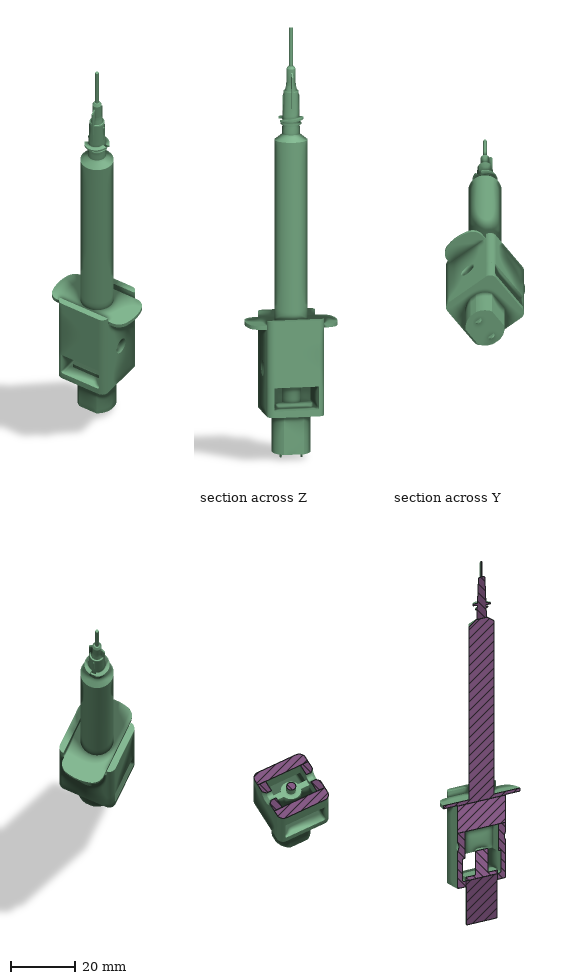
import cadquery as cq
import math


housing_width = 18.0
housing_depth = 19.0
corner_radius = 2.2
seam_z = 9.5
housing_top_z = 30.6
flange_seat_z = 27.7
flange_slot_depth = 14.8
tongue_width = 10.6
tongue_thickness = 2.9
tongue_top_z = 18.4
cavity_width = housing_width - 2 * tongue_thickness
cavity_depth = tongue_width
cavity_top_z = tongue_top_z
floor_thickness = 2.1
window_side_wall = 1.9
window_width = housing_width - 2 * window_side_wall
window_corner_radius = 0.6

screw_z = 14.0
screw_diameter = 2.8
countersink_diameter = 5.0
countersink_half_angle = math.radians(45)
countersink_depth = (countersink_diameter - screw_diameter) / 2 / math.tan(countersink_half_angle)

motor_diameter = 12.2
motor_width = 12.0
motor_depth = 10.4
motor_bottom_z = -12.8
terminal_thickness = 0.4
terminal_width = 2.0
terminal_spacing = 6.6
terminal_tip_z = -14.7

plate_thickness = 1.2
plate_top_z = floor_thickness + plate_thickness
plate_corner_radius = 1.0
core_diameter = 6.4
wing_thickness = 2.0
gearbox_top_z = 11.3
shaft_diameter = 3.0
shaft_top_z = cavity_top_z

flange_diameter = 29.0
flange_depth = 13.8
flange_thickness = 1.2
flange_corner_radius = 3.8
barrel_diameter = 10.4
barrel_top_z = 88.4
barrel_taper_height = 1.9
barrel_taper_inset = 2.4

hub_base_diameter = 5.6
hub_top_diameter = 4.8
hub_rim_diameter = 4.6
hub_rim_z = 101.8
hub_shoulder_z = 102.2
cone_base_diameter = 3.8
cone_top_diameter = 3.1
cone_top_z = 103.8
sleeve_diameter = 2.93
sleeve_base_z = 104.7
sleeve_top_z = 109.1
sleeve_tip_diameter = 1.8
hub_tip_z = 109.9

fin_thickness = 0.5
fin_bottom_z = 95.9
fin_reach = 2.7
short_fin_top_z = hub_rim_z
short_fin_chamfer = 1.2
tall_fin_top_z = 108.1
tall_fin_chamfer = 1.4

collar_diameter = 6.4
collar_bottom_z = 91.5
collar_thickness = 0.5
thread_start_z = 92.7
thread_start_angle = 18.0
thread_lead = 2.0
thread_turns = 0.42
thread_diameter = 7.9
thread_root_height = 1.0
thread_crest_height = 0.6
thread_root_radius = 2.4

needle_diameter = 1.1
needle_tip_z = 122.1
needle_root_z = sleeve_base_z


def upright_block(width, depth, bottom_z, top_z):
    block = cq.Workplane("XY").box(width, depth, top_z - bottom_z, centered=(True, True, False))
    return block.translate((0, 0, bottom_z))


def upright_cylinder(diameter, bottom_z, top_z):
    return cq.Workplane("XY").workplane(offset=bottom_z).circle(diameter / 2).extrude(top_z - bottom_z)


def housing_block(bottom_z, top_z):
    return upright_block(housing_width, housing_depth, bottom_z, top_z).edges("|Z").fillet(corner_radius)


def motor_can_shape(bottom_z, top_z):
    """A round can flattened on all four sides."""
    flats = upright_block(motor_width, motor_depth, bottom_z, top_z)
    return upright_cylinder(motor_diameter, bottom_z, top_z).intersect(flats)


def tongues():
    """Tabs on the two side walls that rise into the upper housing."""
    both = upright_block(housing_width, tongue_width, seam_z, tongue_top_z)
    return both.cut(upright_block(cavity_width, tongue_width, seam_z, tongue_top_z))


def build_upper_housing():
    body = housing_block(seam_z, housing_top_z)
    body = body.cut(upright_block(housing_width, flange_slot_depth, flange_seat_z, housing_top_z))
    body = body.cut(upright_block(cavity_width, cavity_depth, seam_z, cavity_top_z))
    return body.cut(tongues())


def build_lower_housing():
    body = housing_block(0, seam_z)
    window = upright_block(window_width, housing_depth, floor_thickness, seam_z)
    window = window.edges("|Y and <Z").fillet(window_corner_radius)
    body = body.cut(window).union(tongues())
    body = body.cut(motor_can_shape(0, floor_thickness))
    for side in (-1, 1):
        wall_face = cq.Workplane(cq.Plane((side * housing_width / 2, 0, screw_z), (0, 1, 0), (side, 0, 0)))
        body = body.cut(wall_face.circle(screw_diameter / 2).extrude(-tongue_thickness))
        countersink = (
            wall_face.circle(countersink_diameter / 2)
            .workplane(offset=-countersink_depth)
            .circle(screw_diameter / 2)
            .loft()
        )
        body = body.cut(countersink)
    return body


def build_motor():
    body = motor_can_shape(motor_bottom_z, floor_thickness)
    tip_radius = terminal_width / 2
    terminal = (
        cq.Workplane("YZ")
        .moveTo(-tip_radius, motor_bottom_z)
        .lineTo(-tip_radius, terminal_tip_z + tip_radius)
        .threePointArc((0, terminal_tip_z), (tip_radius, terminal_tip_z + tip_radius))
        .lineTo(tip_radius, motor_bottom_z)
        .close()
        .extrude(terminal_thickness / 2, both=True)
    )
    for side in (-1, 1):
        body = body.union(terminal.translate((side * terminal_spacing / 2, 0, 0)))
    return body


def build_gearbox():
    plate = upright_block(motor_width, motor_depth, floor_thickness, plate_top_z)
    body = plate.edges("|Z").fillet(plate_corner_radius)
    body = body.union(upright_block(motor_width, wing_thickness, plate_top_z, gearbox_top_z))
    body = body.union(upright_cylinder(core_diameter, plate_top_z, gearbox_top_z))
    return body.union(upright_cylinder(shaft_diameter, gearbox_top_z, shaft_top_z))


def build_barrel():
    flange_top_z = flange_seat_z + flange_thickness
    flange = upright_cylinder(flange_diameter, flange_seat_z, flange_top_z)
    flange = flange.intersect(upright_block(flange_diameter, flange_depth, flange_seat_z, flange_top_z))
    flange = flange.edges("|Z").edges(">Y or <Y").fillet(flange_corner_radius)
    tube = upright_cylinder(barrel_diameter, flange_seat_z, barrel_top_z)
    tube = tube.faces(">Z").chamfer(barrel_taper_height, barrel_taper_inset)
    return flange.union(tube)


def fin_pair(top_z, chamfer):
    """Two opposite fins across X with their top outer corners cut at 45 degrees."""
    fins = upright_block(2 * fin_reach, fin_thickness, fin_bottom_z, top_z)
    return fins.edges("|Y and >Z").chamfer(chamfer)


def thread_lobe():
    """One helical lobe of the lock thread, with a tapering cross-section."""
    path = cq.Wire.makeHelix(thread_lead, thread_lead * thread_turns, thread_root_radius)
    profile = cq.Workplane("XZ").polyline([
        (thread_root_radius, -thread_root_height / 2),
        (thread_diameter / 2, -thread_crest_height / 2),
        (thread_diameter / 2, thread_crest_height / 2),
        (thread_root_radius, thread_root_height / 2),
    ]).close()
    return profile.sweep(path, isFrenet=True).translate((0, 0, thread_start_z))


def build_hub():
    hub_outline = [
        (0, barrel_top_z),
        (hub_base_diameter / 2, barrel_top_z),
        (hub_top_diameter / 2, hub_rim_z),
        (hub_rim_diameter / 2, hub_shoulder_z),
        (cone_base_diameter / 2, hub_shoulder_z),
        (cone_top_diameter / 2, cone_top_z),
        (sleeve_diameter / 2, sleeve_base_z),
        (sleeve_diameter / 2, sleeve_top_z),
        (sleeve_tip_diameter / 2, hub_tip_z),
        (0, hub_tip_z),
    ]
    body = cq.Workplane("XZ").polyline(hub_outline).close().revolve(360, (0, 0), (0, 1))
    body = body.union(fin_pair(short_fin_top_z, short_fin_chamfer))
    body = body.union(fin_pair(tall_fin_top_z, tall_fin_chamfer).rotate((0, 0, 0), (0, 0, 1), 90))
    body = body.union(upright_cylinder(collar_diameter, collar_bottom_z, collar_bottom_z + collar_thickness))
    for start_angle in (thread_start_angle, thread_start_angle + 180):
        body = body.union(thread_lobe().rotate((0, 0, 0), (0, 0, 1), start_angle))
    return body.cut(upright_cylinder(needle_diameter, needle_root_z, hub_tip_z))


upper_housing = build_upper_housing()
lower_housing = build_lower_housing()
motor = build_motor()
gearbox = build_gearbox()
barrel = build_barrel()
hub = build_hub()
needle = upright_cylinder(needle_diameter, needle_root_z, needle_tip_z)

result = cq.Compound.makeCompound([
    upper_housing.val(),
    lower_housing.val(),
    motor.val(),
    gearbox.val(),
    barrel.val(),
    hub.val(),
    needle.val(),
])